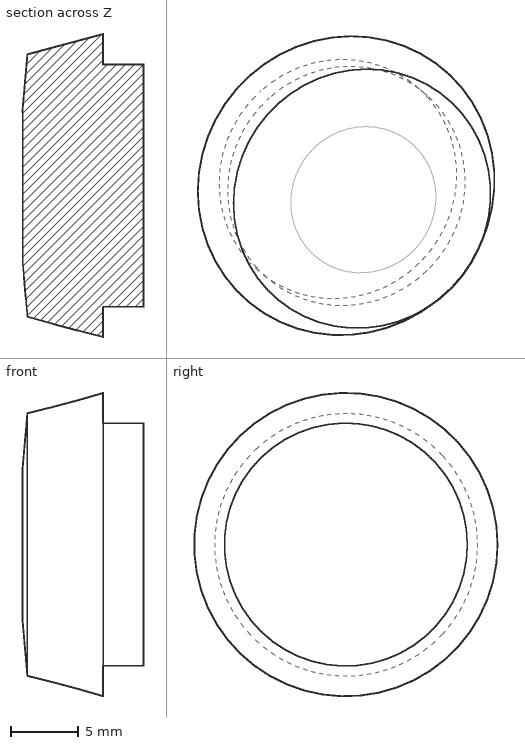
import cadquery as cq
import math

head_diameter = 22.5
head_length = 6.0
spigot_diameter = 18.0
spigot_length = 3.0
flat_diameter = 11.0
side_taper = 15.0
face_slope = 5.0

head_radius = head_diameter / 2
spigot_radius = spigot_diameter / 2
flat_radius = flat_diameter / 2
total_length = head_length + spigot_length

side_rate = math.tan(math.radians(side_taper))
face_rate = math.tan(math.radians(face_slope))
rim_depth = face_rate * (head_radius - head_length * side_rate - flat_radius) / (1 - side_rate * face_rate)
rim_radius = flat_radius + rim_depth / face_rate

front_x = 0.0
rim_x = front_x + rim_depth
shoulder_x = front_x + head_length
back_x = front_x + total_length


def turned_body():
    """Revolve the half profile (axial position, radius) about the X axis."""
    half_profile = cq.Workplane("XY").polyline([
        (front_x, 0),
        (front_x, flat_radius),
        (rim_x, rim_radius),
        (shoulder_x, head_radius),
        (shoulder_x, spigot_radius),
        (back_x, spigot_radius),
        (back_x, 0),
    ]).close()
    return half_profile.revolve(360, (0, 0, 0), (1, 0, 0))


result = turned_body()